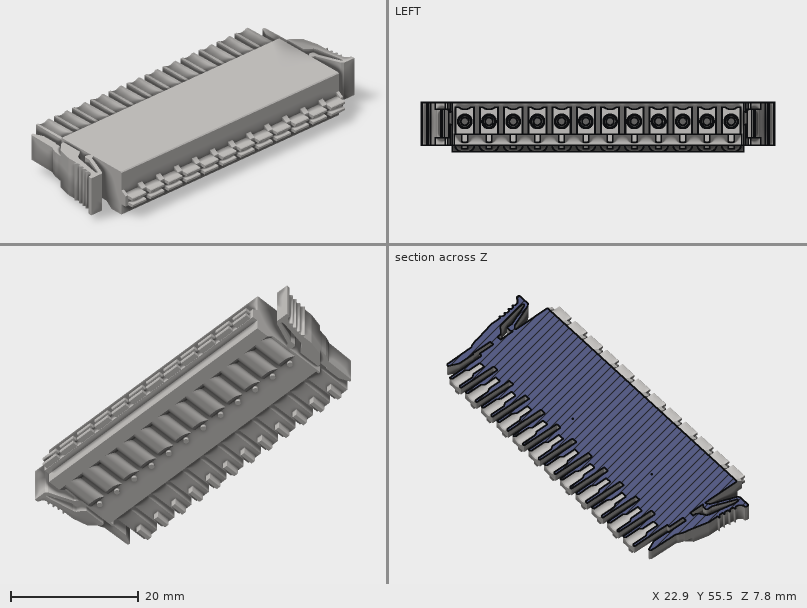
import cadquery as cq


POLES = 12
PITCH = 3.81
POLE_YS = [(i - (POLES - 1) / 2) * PITCH for i in range(POLES)]

TOTAL_LENGTH = 22.9
TOTAL_WIDTH = 55.5
HEIGHT = 7.8
HOUSING_FRONT = 6.7
HOUSING_BACK = 20.8
HOUSING_WIDTH = 45.85
HOUSING_SIDE = HOUSING_WIDTH / 2
UNDERSIDE = 1.0
BACK_TOP_CHAMFER = 0.15

SLOPE_RUN = 1.2
FOOT_START = 17.25
RIB_START = 11.9
RIB_WIDTH = 3.05
RIB_FILLET = 1.1
RIB_TOP = 1.65
NUB_DIAMETER = 0.9
NUB_X = 11.5
NUB_DROP = 0.5

RECESS_DEPTH = 0.55
RECESS_SIDE_WALL = 0.35

SOCKET_BOTTOM = 2.8
SOCKET_TOP = 7.0
SOCKET_TIP_WIDTH = 2.8
SOCKET_ROOT_WIDTH = 2.95
GROOVE_WIDTH = 1.9
GROOVE_DEPTH = 0.35
BORE_Z = 4.8
BORE_MOUTH_DIAMETER = 2.2
BORE_MOUTH_DEPTH = 0.15
BORE_DIAMETER = 1.9
BORE_THROAT_DIAMETER = 1.2
BORE_THROAT_START = 2.8
BORE_THROAT_CONE = 0.55
BORE_DEPTH = 5.55
KEY_START = 0.35
KEY_END = 2.7
KEY_WIDTH = 0.9
KEY_BOTTOM = 1.5
KEY_FILLET = 0.15

RIDGE_BACK = 21.8
RIDGE_BOTTOM = 1.9
RIDGE_TOP_OUTER = 3.8
RIDGE_TOP_INNER = 4.4
BLADE_WIDTH = 2.9
BLADE_THICKNESS = 0.55
BLADE_TOPS = [3.65, 2.5]
BLADE_CHAMFER = 0.1

TANG_BOTTOM = 2.15
TANG_TOP = 6.65
TANG_STEP_X = 7.9
TANG_STEP_Y = 24.05
TANG_OUTER_X = 9.45
TANG_OUTER_Y = 25.6
LATCH_INNER = 23.6
LATCH_OUTER = TOTAL_WIDTH / 2
POST_START = 9.55
POST_END = 11.1
POST_BOTTOM = 4.3
POST_TOP = 6.3
GRIP_XS = [13.9, 14.95, 15.95, 16.9]
GRIP_FLAT_Y = 26.25
GRIP_SLOPE_START = 15
GRIP_END_X = 17.7
GRIP_END_Y = 26.7
GRIP_HEIGHT = 0.4
GRIP_CREST = 0.15
GRIP_WIDTH = 0.65
GRIP_ROOT = 0.15

LEVER_OUTER_POINTS = [(1.35, 24.2), (1.35, 24.5), (1.55, 24.65), (6.6, 24.75), (6.95, 25), (7.9, 25.3),
                      (8.9, 25.5), (12.1, GRIP_FLAT_Y), (GRIP_SLOPE_START, GRIP_FLAT_Y),
                      (GRIP_END_X, GRIP_END_Y)]
THUMB_ARC_MIDDLE = (18.15, 27.05)
THUMB_ARC_END = (18.4, 27.65)
THUMB_AND_LEG_POINTS = [(18.7, LATCH_OUTER), (19.1, LATCH_OUTER), (19.1, 25.55), (18.75, 25.2), (14.6, 23.55),
                        (14.15, HOUSING_SIDE), (13.7, HOUSING_SIDE), (13.4, 23.25), (13.4, 23.8)]
FOOT_ARC_MIDDLE = (13.45, 24.05)
FOOT_ARC_END = (13.65, 24.15)
LEG_OUTER_POINTS = [(14.5, 24.15), (18.25, 25.65)]
FOLD_ARC_MIDDLE = (18.45, 25.9)
FOLD_ARC_END = (18.2, 26.0)
LEVER_INNER_POINTS = [(17.55, 25.95), (13.2, 25.1), (12.7, 24.9), (12.4, 24.3), (11.75, LATCH_INNER),
                      (5.95, LATCH_INNER), (5.95, 23.45), (3.05, 23.45)]


def block(x0, x1, y0, y1, z0, z1):
    """Box given by its limits along the three axes."""
    return cq.Workplane("XY").box(x1 - x0, y1 - y0, z1 - z0, centered=False).translate((x0, y0, z0))


def along_y(points, width, y=0):
    """Prism of an XZ outline, centred on the given y."""
    return cq.Workplane("XZ").polyline(points).close().extrude(width / 2, both=True).translate((0, y, 0))


def make_housing():
    body = block(HOUSING_FRONT, HOUSING_BACK, -HOUSING_SIDE, HOUSING_SIDE, UNDERSIDE, HEIGHT)
    body = body.edges(">X and >Z").chamfer(BACK_TOP_CHAMFER)
    recess_side = HOUSING_SIDE - RECESS_SIDE_WALL
    recess = block(HOUSING_FRONT, HOUSING_FRONT + RECESS_DEPTH, -recess_side, recess_side,
                   UNDERSIDE, SOCKET_BOTTOM)
    foot_points = [(FOOT_START, UNDERSIDE), (FOOT_START + SLOPE_RUN, 0),
                   (HOUSING_BACK, 0), (HOUSING_BACK, UNDERSIDE)]
    return body.cut(recess).union(along_y(foot_points, HOUSING_WIDTH))


def make_rib(y):
    """Rounded rib under one pole, cut off by the front slope, with a nub ahead of it."""
    side = RIB_WIDTH / 2
    rib = block(RIB_START, HOUSING_BACK, y - side, y + side, 0, RIB_TOP)
    rib = rib.edges("|X and <Z").fillet(RIB_FILLET)
    slope_points = [(RIB_START, UNDERSIDE), (RIB_START + SLOPE_RUN, 0), (RIB_START, 0)]
    rib = rib.cut(along_y(slope_points, RIB_WIDTH, y))
    nub = (cq.Workplane("XY", origin=(NUB_X, y, UNDERSIDE - NUB_DROP))
           .circle(NUB_DIAMETER / 2).extrude(NUB_DROP))
    return rib.union(nub)


def make_socket(y):
    """Tapered wire socket with a grooved top, a stepped bore and a key below."""
    tip = SOCKET_TIP_WIDTH / 2
    root = SOCKET_ROOT_WIDTH / 2
    socket = (cq.Workplane("XY", origin=(0, y, SOCKET_BOTTOM))
              .polyline([(0, -tip), (HOUSING_FRONT, -root), (HOUSING_FRONT, root), (0, tip)]).close()
              .extrude(SOCKET_TOP - SOCKET_BOTTOM))
    half_groove = GROOVE_WIDTH / 2
    groove_radius = (half_groove ** 2 + GROOVE_DEPTH ** 2) / (2 * GROOVE_DEPTH)
    groove_z = SOCKET_TOP - GROOVE_DEPTH + groove_radius
    groove = cq.Workplane("YZ", origin=(0, y, groove_z)).circle(groove_radius).extrude(HOUSING_FRONT)
    key = block(KEY_START, KEY_END, y - KEY_WIDTH / 2, y + KEY_WIDTH / 2, KEY_BOTTOM, SOCKET_BOTTOM)
    key = key.edges("|X and <Z").fillet(KEY_FILLET)
    bore = (cq.Workplane("XY")
            .polyline([(0, 0), (0, BORE_MOUTH_DIAMETER / 2), (BORE_MOUTH_DEPTH, BORE_DIAMETER / 2),
                       (BORE_THROAT_START, BORE_DIAMETER / 2),
                       (BORE_THROAT_START + BORE_THROAT_CONE, BORE_THROAT_DIAMETER / 2),
                       (BORE_DEPTH, BORE_THROAT_DIAMETER / 2), (BORE_DEPTH, 0)]).close()
            .revolve(360, (0, 0, 0), (1, 0, 0)).translate((0, y, BORE_Z)))
    return socket.union(key).cut(groove).cut(bore)


def make_ridge():
    """Ridge along the back, lowered to the upper blade at every pole."""
    ridge = along_y([(HOUSING_BACK, RIDGE_BOTTOM), (RIDGE_BACK, RIDGE_BOTTOM),
                     (RIDGE_BACK, RIDGE_TOP_OUTER), (HOUSING_BACK, RIDGE_TOP_INNER)], HOUSING_WIDTH)
    for y in POLE_YS:
        ridge = ridge.cut(block(HOUSING_BACK, RIDGE_BACK, y - BLADE_WIDTH / 2, y + BLADE_WIDTH / 2,
                                BLADE_TOPS[0], RIDGE_TOP_INNER))
    return ridge


def make_blade(y, top):
    blade = block(HOUSING_BACK, TOTAL_LENGTH, y - BLADE_WIDTH / 2, y + BLADE_WIDTH / 2,
                  top - BLADE_THICKNESS, top)
    return blade.edges(">X and |Y").chamfer(BLADE_CHAMFER)


def grip_y(x):
    """Y of the latch's outer face along the finger grip."""
    rise = (GRIP_END_Y - GRIP_FLAT_Y) / (GRIP_END_X - GRIP_SLOPE_START)
    return GRIP_FLAT_Y + max(0, x - GRIP_SLOPE_START) * rise


def make_latch():
    """Latch on the +Y side: lever, folded spring leg, grip teeth and pivot post."""
    lever = (cq.Workplane("XY", origin=(0, 0, UNDERSIDE))
             .polyline(LEVER_OUTER_POINTS)
             .threePointArc(THUMB_ARC_MIDDLE, THUMB_ARC_END)
             .polyline(THUMB_AND_LEG_POINTS, includeCurrent=True)
             .threePointArc(FOOT_ARC_MIDDLE, FOOT_ARC_END)
             .polyline(LEG_OUTER_POINTS, includeCurrent=True)
             .threePointArc(FOLD_ARC_MIDDLE, FOLD_ARC_END)
             .polyline(LEVER_INNER_POINTS, includeCurrent=True)
             .close().extrude(HEIGHT - UNDERSIDE))
    for x in GRIP_XS:
        root_y = grip_y(x) - GRIP_ROOT
        crest_y = grip_y(x) + GRIP_HEIGHT
        tooth = (cq.Workplane("XY", origin=(0, 0, UNDERSIDE))
                 .polyline([(x, root_y), (x, crest_y), (x + GRIP_CREST, crest_y),
                            (x + GRIP_WIDTH, root_y)]).close()
                 .extrude(HEIGHT - UNDERSIDE))
        lever = lever.union(tooth)

    trim = (cq.Workplane("XY")
            .polyline([(0, HOUSING_SIDE), (TANG_STEP_X, HOUSING_SIDE), (TANG_STEP_X, TANG_STEP_Y),
                       (TANG_OUTER_X, TANG_OUTER_Y), (TANG_OUTER_X, LATCH_OUTER), (0, LATCH_OUTER)])
            .close().extrude(HEIGHT))
    tang_zone = block(0, TANG_OUTER_X, HOUSING_SIDE, LATCH_OUTER, TANG_BOTTOM, TANG_TOP)
    post = block(POST_START, POST_END, HOUSING_SIDE, LATCH_INNER, POST_BOTTOM, POST_TOP)
    return lever.cut(trim.cut(tang_zone)).union(post)


result = make_housing().union(make_ridge())
for pole_y in POLE_YS:
    result = result.union(make_rib(pole_y)).union(make_socket(pole_y))
    for blade_top in BLADE_TOPS:
        result = result.union(make_blade(pole_y, blade_top))

latch = make_latch()
result = result.union(latch).union(latch.mirror("XZ"))